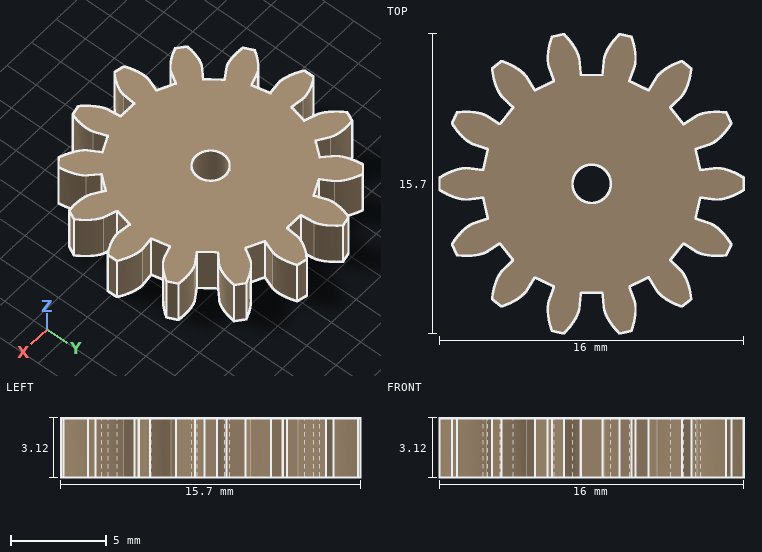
import cadquery as cq
import math

MODULE = 1.0
TOOTH_COUNT = 14
PRESSURE_ANGLE = 20.0
FACE_WIDTH = 3.12
BORE_DIAMETER = 2.0
ADDENDUM_FACTOR = 1.0
DEDENDUM_FACTOR = 1.25
FLANK_STEPS = 6

pitch_radius = MODULE * TOOTH_COUNT / 2
base_radius = pitch_radius * math.cos(math.radians(PRESSURE_ANGLE))
tip_radius = pitch_radius + ADDENDUM_FACTOR * MODULE
root_radius = pitch_radius - DEDENDUM_FACTOR * MODULE

pitch_angle = 2 * math.pi / TOOTH_COUNT


def involute_angle(radius):
    """Polar angle the involute has turned through between the base circle and a radius."""
    contact_angle = math.acos(base_radius / radius)
    return math.tan(contact_angle) - contact_angle


base_half_angle = pitch_angle / 4 + involute_angle(pitch_radius)


def polar(radius, angle):
    return (radius * math.cos(angle), radius * math.sin(angle))


def flank_points(tooth_angle, side):
    """Involute points from base circle to tip; side is -1 or +1 about the tooth centre line."""
    radial_step = (tip_radius - base_radius) / FLANK_STEPS
    radii = [base_radius + step * radial_step for step in range(FLANK_STEPS + 1)]
    return [polar(r, tooth_angle + side * (base_half_angle - involute_angle(r))) for r in radii]


def gear_outline():
    """Teeth with radial lower flanks, involute upper flanks, flat tips and flat gap floors."""
    outline = cq.Workplane("XY").moveTo(*polar(root_radius, -base_half_angle))
    for tooth in range(TOOTH_COUNT):
        tooth_angle = tooth * pitch_angle
        rising = flank_points(tooth_angle, -1)
        falling = flank_points(tooth_angle, 1)[::-1]
        outline = outline.lineTo(*rising[0]).spline(rising[1:], includeCurrent=True)
        outline = outline.lineTo(*falling[0]).spline(falling[1:], includeCurrent=True)
        outline = outline.lineTo(*polar(root_radius, tooth_angle + base_half_angle))
        if tooth < TOOTH_COUNT - 1:
            next_tooth_angle = tooth_angle + pitch_angle
            outline = outline.lineTo(*polar(root_radius, next_tooth_angle - base_half_angle))
    return outline.close()


gear = gear_outline().extrude(FACE_WIDTH)
bore = cq.Workplane("XY").circle(BORE_DIAMETER / 2).extrude(FACE_WIDTH)
result = gear.cut(bore)